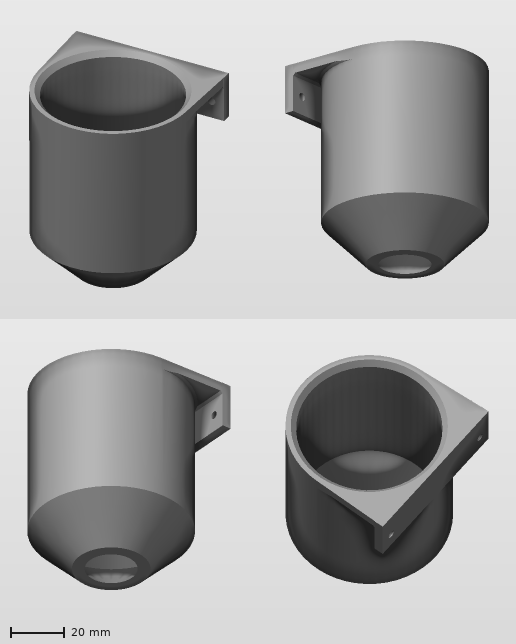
import cadquery as cq
import math

height = 78.0
outer_diameter = 63.0
bore_diameter = 55.0
outlet_diameter = 20.0
tip_diameter = 29.6
outer_radius = outer_diameter / 2
bore_radius = bore_diameter / 2
outlet_radius = outlet_diameter / 2
tip_radius = tip_diameter / 2

outer_cone_height = outer_radius - tip_radius
inner_cone_height = bore_radius - outlet_radius
rim_chamfer = 2.0

bracket_width = 65.0
shelf_thickness = 3.8
inner_chamfer = 0.9
plate_thickness = 3.8
plate_height = 19.0
back_y = outer_radius
plate_front_y = back_y - plate_thickness
shelf_bottom_z = height - shelf_thickness

corner_distance = math.hypot(bracket_width / 2, back_y)
corner_angle = math.atan2(back_y, bracket_width / 2)
tangent_angle = corner_angle - math.acos(outer_radius / corner_distance)
tangent_x = outer_radius * math.cos(tangent_angle)
tangent_y = outer_radius * math.sin(tangent_angle)

screw_diameter = 3.2
screw_spacing = 54.45
screw_depth_below_rim = 11.85


def make_cup_solid():
    """Outer cylinder with its conical lower end."""
    profile = [
        (0, 0),
        (tip_radius, 0),
        (outer_radius, outer_cone_height),
        (outer_radius, height),
        (0, height),
    ]
    return cq.Workplane("XZ").polyline(profile).close().revolve(360, (0, 0), (0, 1))


def make_cavity():
    """Funnel, bore and chamfered mouth as one revolved cutter."""
    profile = [
        (0, 0),
        (outlet_radius, 0),
        (bore_radius, inner_cone_height),
        (bore_radius, height - rim_chamfer),
        (bore_radius + rim_chamfer, height),
        (0, height),
    ]
    return cq.Workplane("XZ").polyline(profile).close().revolve(360, (0, 0), (0, 1))


def make_shelf_prism(bottom_z):
    """Tapered shelf outline, extruded from bottom_z up to the rim."""
    outline = [
        (-tangent_x, tangent_y),
        (tangent_x, tangent_y),
        (bracket_width / 2, back_y),
        (-bracket_width / 2, back_y),
    ]
    return (
        cq.Workplane("XY", origin=(0, 0, bottom_z))
        .polyline(outline)
        .close()
        .extrude(height - bottom_z)
    )


def make_back_plate():
    """Vertical plate hanging from the back edge of the shelf."""
    return cq.Workplane("XY").box(
        bracket_width, plate_thickness, plate_height, centered=(True, False, False)
    ).translate((0, plate_front_y, height - plate_height))


def make_screw_holes():
    """Pair of cutters running along Y through the back plate."""
    return (
        cq.Workplane("XZ", origin=(0, back_y, height - screw_depth_below_rim))
        .pushPoints([(-screw_spacing / 2, 0), (screw_spacing / 2, 0)])
        .circle(screw_diameter / 2)
        .extrude(plate_thickness)
    )


def make_cup_corner_chamfer():
    """Conical collar under the shelf, around the cup."""
    profile = [
        (0, shelf_bottom_z - inner_chamfer),
        (outer_radius, shelf_bottom_z - inner_chamfer),
        (outer_radius + inner_chamfer, shelf_bottom_z),
        (0, shelf_bottom_z),
    ]
    return cq.Workplane("XZ").polyline(profile).close().revolve(360, (0, 0), (0, 1))


def make_plate_corner_chamfer():
    """Straight wedge between the shelf's underside and the plate."""
    profile = [
        (plate_front_y - inner_chamfer, shelf_bottom_z),
        (back_y, shelf_bottom_z),
        (back_y, shelf_bottom_z - inner_chamfer),
        (plate_front_y, shelf_bottom_z - inner_chamfer),
    ]
    return cq.Workplane("YZ").polyline(profile).close().extrude(bracket_width / 2, both=True)


def make_upright_chamfer():
    """Upright wedge where the plate meets the right side of the cup."""
    meeting_x = math.sqrt(outer_radius**2 - plate_front_y**2)
    setback_angle = math.atan2(plate_front_y, meeting_x) - inner_chamfer / outer_radius
    profile = [
        (meeting_x + inner_chamfer, plate_front_y),
        (outer_radius * math.cos(setback_angle), outer_radius * math.sin(setback_angle)),
        (bore_radius * math.cos(setback_angle), bore_radius * math.sin(setback_angle)),
        (meeting_x, back_y - plate_thickness / 2),
        (meeting_x + inner_chamfer, back_y - plate_thickness / 2),
    ]
    return (
        cq.Workplane("XY", origin=(0, 0, height - plate_height))
        .polyline(profile)
        .close()
        .extrude(plate_height)
    )


shelf = make_shelf_prism(shelf_bottom_z)
corner_chamfers = make_cup_corner_chamfer().union(make_plate_corner_chamfer())
corner_chamfers = corner_chamfers.intersect(make_shelf_prism(shelf_bottom_z - inner_chamfer))
upright_chamfer = make_upright_chamfer()

bracket = (
    shelf.union(make_back_plate())
    .union(corner_chamfers)
    .union(upright_chamfer)
    .union(upright_chamfer.mirror("YZ"))
    .cut(make_screw_holes())
)
result = make_cup_solid().union(bracket).cut(make_cavity())